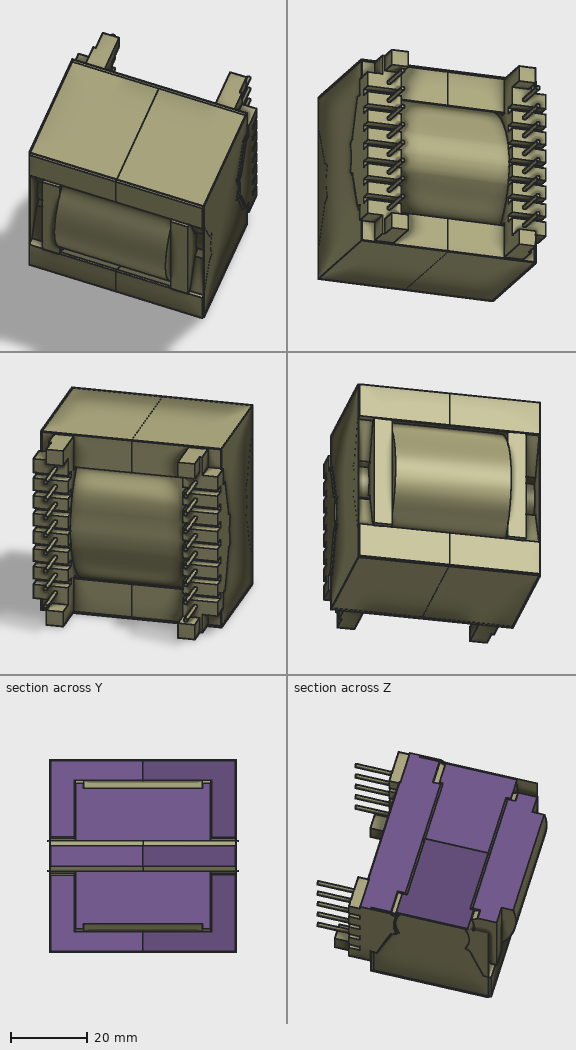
import cadquery as cq
import math


TOTAL_WIDTH_X = 50.0
TOTAL_LENGTH_Y = 52.9

CORE_HALF_X = 24.3
CORE_HALF_Y = 16.0
CORE_HALF_Z = 25.0
POST_RADIUS = 10.0
WINDOW_HALF_X = 18.0
WINDOW_RADIUS = 22.0
LEG_GAP_HALF_Z = 15.75

NOTCH_SHOULDER_Z = 5.5
NOTCH_FLANK_END_Z = 4.5
SHALLOW_NOTCH_LEG_Y = 15.0
SHALLOW_NOTCH_SHOULDER_Y = 10.85
DEEP_NOTCH_LEG_Y = 13.85
DEEP_NOTCH_SHOULDER_Y = 10.2

TAPE_THICKNESS = 0.24
TAPE_SHIFT_Y = 0.7
TAPE_BACK_Y = CORE_HALF_Y + TAPE_SHIFT_Y

WINDING_RADIUS = 20.3
BORE_RADIUS = 10.35
FLANGE_INNER_X = 15.55
FLANGE_OUTER_X = 17.7
FLANGE_RADIUS = 21.5
FLANGE_FRONT_Y = 16.45
FRONT_LUG_OUTER_X = 20.4

TONGUE_HALF_Z = 15.3
TONGUE_EDGE_Y = 14.85
TONGUE_SHOULDER = (11.1, 4.8)
TONGUE_FLANK_END_Z = 3.95

BLOCK_OUTER_X = TOTAL_WIDTH_X / 2
BLOCK_HALF_Z = 19.7
BLOCK_BACK_Y = 22.55
CORNER_OUTER_X = 20.85
CORNER_HALF_Z = 24.8
FOOT_OUTER_X = 20.15
FOOT_BACK_Y = 27.65
FOOT_INNER_Z = 20.65

PIN_COUNT = 8
PIN_ROW_LENGTH = 35.0
PIN_PITCH = PIN_ROW_LENGTH / (PIN_COUNT - 1)
PIN_DIAMETER = 1.0
PIN_X = 19.0
PIN_END_Y = TOTAL_LENGTH_Y - WINDING_RADIUS
SLOT_WIDTH = 1.6
SLOT_FLOOR_Y = 19.5


def box(x_range, y_range, z_range):
    """Box between the given limits on each axis."""
    sizes = [high - low for low, high in (x_range, y_range, z_range)]
    corner = (x_range[0], y_range[0], z_range[0])
    return cq.Workplane("XY").box(*sizes, centered=False).translate(corner)


def x_cylinder(radius, x_start, x_end):
    """Cylinder about the X axis."""
    return cq.Workplane("YZ").workplane(offset=x_start).circle(radius).extrude(x_end - x_start)


def notch_prism(x_range, outer_y, half_z, edge_y, shoulder, round_radius, flank_end_z):
    """Prism along X with the yoke notch outline, opening toward +Y.

    The floor is a chord across the round (post or bore) that finishes the outline.
    """
    shoulder_y, shoulder_z = shoulder
    floor_y = math.sqrt(round_radius**2 - flank_end_z**2)
    return (
        cq.Workplane("YZ")
        .workplane(offset=x_range[0])
        .moveTo(outer_y, half_z)
        .lineTo(edge_y, half_z)
        .lineTo(shoulder_y, shoulder_z)
        .lineTo(floor_y, flank_end_z)
        .lineTo(floor_y, -flank_end_z)
        .lineTo(shoulder_y, -shoulder_z)
        .lineTo(edge_y, -half_z)
        .lineTo(outer_y, -half_z)
        .close()
        .extrude(x_range[1] - x_range[0])
    )


def tongue(outer_x, outer_y):
    """Bobbin tongue that fills a +X, +Y yoke notch, out to the given limits."""
    return notch_prism(
        (FLANGE_INNER_X, outer_x), outer_y, TONGUE_HALF_Z, TONGUE_EDGE_Y,
        TONGUE_SHOULDER, BORE_RADIUS, TONGUE_FLANK_END_Z,
    )


def yoke_notch(leg_y, shoulder_y):
    """Notch through the +X yoke, on its +Y side."""
    return notch_prism(
        (WINDOW_HALF_X, CORE_HALF_X), CORE_HALF_Y, LEG_GAP_HALF_Z, leg_y,
        (shoulder_y, NOTCH_SHOULDER_Z), POST_RADIUS, NOTCH_FLANK_END_Z,
    )


def make_core_half():
    """Core half on the +X side: two legs, a notched yoke and half of the centre post."""
    y_range = (-CORE_HALF_Y, CORE_HALF_Y)
    half = box((0, CORE_HALF_X), y_range, (-CORE_HALF_Z, CORE_HALF_Z))
    half = half.cut(x_cylinder(WINDOW_RADIUS, 0, WINDOW_HALF_X))
    half = half.cut(box((0, WINDOW_HALF_X), y_range, (-LEG_GAP_HALF_Z, LEG_GAP_HALF_Z)))
    half = half.cut(yoke_notch(DEEP_NOTCH_LEG_Y, DEEP_NOTCH_SHOULDER_Y))
    half = half.cut(yoke_notch(SHALLOW_NOTCH_LEG_Y, SHALLOW_NOTCH_SHOULDER_Y).mirror("XZ"))
    return half.union(x_cylinder(POST_RADIUS, 0, CORE_HALF_X))


def make_tape():
    """Thin rectangular band round the core, set back from its front end."""
    outer_x = CORE_HALF_X + TAPE_THICKNESS
    outer_z = CORE_HALF_Z + TAPE_THICKNESS
    y_range = (TAPE_BACK_Y - 2 * CORE_HALF_Y, TAPE_BACK_Y)
    band = box((-outer_x, outer_x), y_range, (-outer_z, outer_z))
    return band.cut(box((-CORE_HALF_X, CORE_HALF_X), y_range, (-CORE_HALF_Z, CORE_HALF_Z)))


def make_terminal_block():
    """Slotted +X terminal block with its corner posts, feet and row of pins."""
    y_range = (TAPE_BACK_Y, BLOCK_BACK_Y)
    block = box((FLANGE_INNER_X, BLOCK_OUTER_X), y_range, (-BLOCK_HALF_Z, BLOCK_HALF_Z))
    block = block.union(box((FLANGE_INNER_X, CORNER_OUTER_X), y_range, (-CORNER_HALF_Z, CORNER_HALF_Z)))

    foot = box((FLANGE_INNER_X, FOOT_OUTER_X), (TAPE_BACK_Y, FOOT_BACK_Y), (FOOT_INNER_Z, CORNER_HALF_Z))
    block = block.union(foot).union(foot.mirror("XY"))

    slot_count = PIN_COUNT - 1
    for index in range(slot_count):
        slot_z = (index - (slot_count - 1) / 2) * PIN_PITCH
        block = block.cut(
            box(
                (FLANGE_INNER_X, BLOCK_OUTER_X),
                (SLOT_FLOOR_Y, BLOCK_BACK_Y),
                (slot_z - SLOT_WIDTH / 2, slot_z + SLOT_WIDTH / 2),
            )
        )

    for index in range(PIN_COUNT):
        pin_z = (index - (PIN_COUNT - 1) / 2) * PIN_PITCH
        pin = cq.Workplane("XZ").circle(PIN_DIAMETER / 2).extrude(TAPE_BACK_Y - PIN_END_Y)
        block = block.union(pin.translate((PIN_X, TAPE_BACK_Y, pin_z)))
    return block


def make_bobbin_end():
    """Everything at the +X end of the bobbin: flange, front lug, back tongue and terminal block."""
    flange = x_cylinder(FLANGE_RADIUS, FLANGE_INNER_X, FLANGE_OUTER_X)
    flange = flange.intersect(
        box(
            (FLANGE_INNER_X, FLANGE_OUTER_X),
            (-FLANGE_FRONT_Y, TAPE_BACK_Y),
            (-FLANGE_RADIUS, FLANGE_RADIUS),
        )
    )
    front_lug = tongue(FRONT_LUG_OUTER_X, FLANGE_FRONT_Y).mirror("XZ")
    back_tongue = tongue(BLOCK_OUTER_X, TAPE_BACK_Y)
    return flange.union(front_lug).union(back_tongue).union(make_terminal_block())


def make_wound_bobbin(tape):
    """Bobbin with its winding and pins; the back tongues are slotted for the tape."""
    end = make_bobbin_end()
    bobbin = x_cylinder(WINDING_RADIUS, -FLANGE_INNER_X, FLANGE_INNER_X)
    bobbin = bobbin.union(end).union(end.mirror("YZ"))
    bobbin = bobbin.cut(x_cylinder(BORE_RADIUS, -BLOCK_OUTER_X, BLOCK_OUTER_X))
    return bobbin.cut(tape)


core_half = make_core_half()
core_halves = [core_half.rotate((0, 0, 0), (0, 0, 1), turn) for turn in (0, 180)]
tape = make_tape()
wound_bobbin = make_wound_bobbin(tape)

result = cq.Compound.makeCompound(
    [*(half.val() for half in core_halves), tape.val(), wound_bobbin.val()]
)